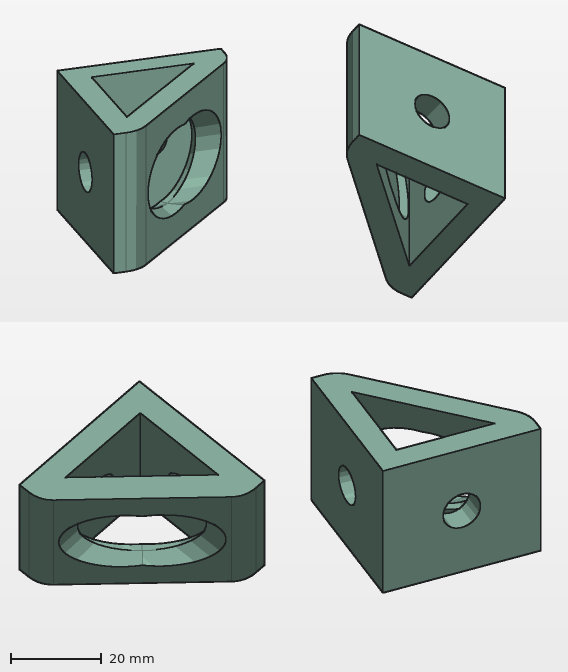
import cadquery as cq

leg = 38.1
height = 33.2
wall = 6.0
corner_radius = 7.62
pocket_leg = 23.75
hole_diameter = 9.0
access_diameter = 20.0

body = (
    cq.Workplane("XY")
    .polyline([(0, 0), (leg, 0), (leg, wall), (wall, leg), (0, leg)])
    .close()
    .extrude(height)
)
sloping_face_edges = body.faces(cq.selectors.DirectionMinMaxSelector(cq.Vector(1, 1, 0))).edges("|Z")
body = body.newObject(sloping_face_edges.vals()).fillet(corner_radius)

opening = (
    cq.Workplane("XY")
    .polyline([(wall, wall), (wall + pocket_leg, wall), (wall, wall + pocket_leg)])
    .close()
    .extrude(height)
)


def leg_cutter(plane, inward):
    """Bolt hole and access passage, centred on a leg face; inward is the extrusion sign."""
    axis_start = cq.Workplane(plane).center(leg / 2, height / 2)
    bolt_hole = axis_start.circle(hole_diameter / 2).extrude(inward * leg)
    access = (
        axis_start.workplane(offset=inward * wall)
        .circle(access_diameter / 2)
        .extrude(inward * leg)
    )
    return bolt_hole.union(access)


result = body.cut(opening)
for plane, inward in (("XZ", -1), ("YZ", 1)):
    result = result.cut(leg_cutter(plane, inward))